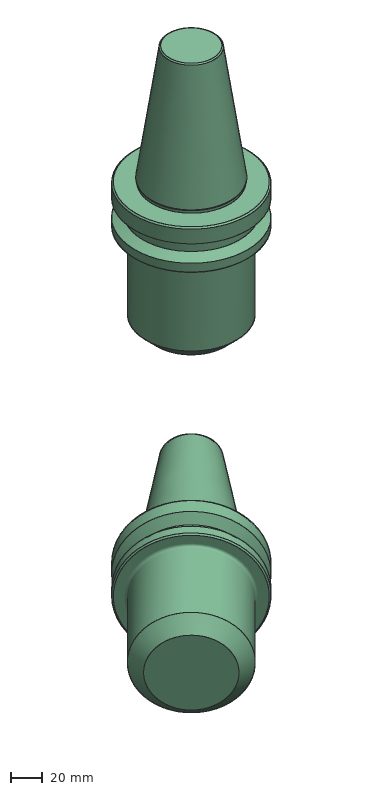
import cadquery as cq

total_height = 216.8
gauge_z = 115.1
neck_top_z = 114.0
flange_top_z = 112.0
groove_upper_edge_z = 99.7
groove_floor_top_z = 95.5
groove_floor_bottom_z = 88.7
groove_lower_edge_z = 84.8
flange_bottom_z = 77.0

flange_radius = 100.0 / 2
groove_radius = 42.7
body_radius = 40.0
gauge_radius = 35.0
neck_radius = 34.3

taper_ratio = 7 / 24
taper_end_radius = gauge_radius - (total_height - gauge_z) * taper_ratio / 2
taper_end_chamfer = 0.9
flange_chamfer = 1.0
body_fillet = 2.0
nose_chamfer = 10.2


def ring_chamfer(solid, radius, z, size):
    """Chamfer the circular edge of the given radius at height z."""
    margin = 0.1
    edge_box = cq.selectors.BoxSelector(
        (-radius - margin, -radius - margin, z - margin),
        (radius + margin, radius + margin, z + margin),
        boundingbox=True,
    )
    return solid.edges(edge_box).edges(cq.selectors.RadiusNthSelector(-1)).chamfer(size)


def make_holder():
    """Revolve the half profile of nose, body, grooved flange and taper about Z."""
    profile = (
        cq.Workplane("XZ")
        .lineTo(body_radius - nose_chamfer, 0)
        .lineTo(body_radius, nose_chamfer)
        .lineTo(body_radius, flange_bottom_z - body_fillet)
        .radiusArc((body_radius + body_fillet, flange_bottom_z), body_fillet)
        .lineTo(flange_radius, flange_bottom_z)
        .lineTo(flange_radius, groove_lower_edge_z)
        .lineTo(groove_radius, groove_floor_bottom_z)
        .lineTo(groove_radius, groove_floor_top_z)
        .lineTo(flange_radius, groove_upper_edge_z)
        .lineTo(flange_radius, flange_top_z)
        .lineTo(neck_radius, flange_top_z)
        .lineTo(neck_radius, neck_top_z)
        .lineTo(gauge_radius, gauge_z)
        .lineTo(taper_end_radius, total_height)
        .lineTo(0, total_height)
        .close()
    )
    return profile.revolve(360, (0, 0, 0), (0, 1, 0))


holder = make_holder()
holder = ring_chamfer(holder, flange_radius, flange_bottom_z, flange_chamfer)
holder = ring_chamfer(holder, flange_radius, flange_top_z, flange_chamfer)
result = ring_chamfer(holder, taper_end_radius, total_height, taper_end_chamfer)